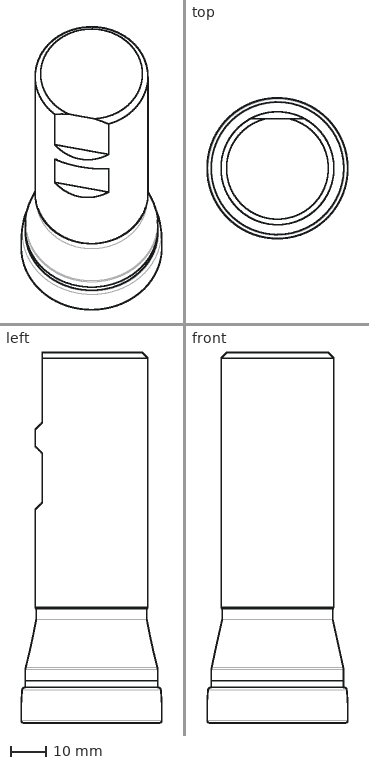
import cadquery as cq

total_height = 105.0

head_radius = 20.0
head_rim_radius = 19.6
head_foot_radius = 20.0
head_crown_z = 3.2
head_edge_round = 0.7
head_shoulder_z = 10.1

seam_z = 12.0
collar_radius = 37.6 / 2
collar_bevel_z = 15.2
collar_bevel_height = 0.5
collar_bevel_width = 0.1

neck_radius = 31.4 / 2
neck_bottom_z = 29.4
shank_radius = 32.0 / 2
shank_bottom_z = 32.9
shank_bevel_height = 0.5
top_chamfer = 1.6

flat_y = 14.0
flat_depth = shank_radius - flat_y
upper_flat_bottom_z = 85.2
lower_flat_bottom_z = 62.5
lower_flat_top_z = 76.4
cut_margin = 1.0


def make_head():
    """Slightly crowned cutting head with rounded edges, with a spigot up to the seam."""
    rim = (
        cq.Workplane("XZ")
        .lineTo(head_foot_radius, 0)
        .threePointArc((head_radius, head_crown_z), (head_rim_radius, head_shoulder_z))
        .lineTo(0, head_shoulder_z)
        .close()
        .revolve(360, (0, 0, 0), (0, 1, 0))
        .faces("<Z or >Z")
        .edges()
        .fillet(head_edge_round)
    )
    spigot = (
        cq.Workplane("XY", origin=(0, 0, head_shoulder_z))
        .circle(collar_radius)
        .extrude(seam_z - head_shoulder_z)
    )
    return rim.union(spigot)


def make_holder():
    """Revolved holder body: collar, taper, neck and chamfered shank."""
    return (
        cq.Workplane("XZ")
        .moveTo(0, seam_z)
        .lineTo(collar_radius, seam_z)
        .lineTo(collar_radius, collar_bevel_z)
        .lineTo(collar_radius - collar_bevel_width, collar_bevel_z + collar_bevel_height)
        .lineTo(neck_radius, neck_bottom_z)
        .lineTo(neck_radius, shank_bottom_z - shank_bevel_height)
        .lineTo(shank_radius, shank_bottom_z)
        .lineTo(shank_radius, total_height - top_chamfer)
        .lineTo(shank_radius - top_chamfer, total_height)
        .lineTo(0, total_height)
        .close()
        .revolve(360, (0, 0, 0), (0, 1, 0))
    )


def flat_cutter(bottom_z, top_z):
    """Prism that leaves a flat between two heights, widening outward at 45 degrees."""
    flare = flat_depth + cut_margin
    outer_y = flat_y + flare
    return (
        cq.Workplane("YZ")
        .moveTo(flat_y, bottom_z)
        .lineTo(outer_y, bottom_z - flare)
        .lineTo(outer_y, top_z + flare)
        .lineTo(flat_y, top_z)
        .close()
        .extrude(shank_radius, both=True)
    )


head = make_head()

holder = make_holder()
holder = holder.cut(flat_cutter(lower_flat_bottom_z, lower_flat_top_z))
holder = holder.cut(flat_cutter(upper_flat_bottom_z, total_height))

result = cq.Compound.makeCompound([head.val(), holder.val()])